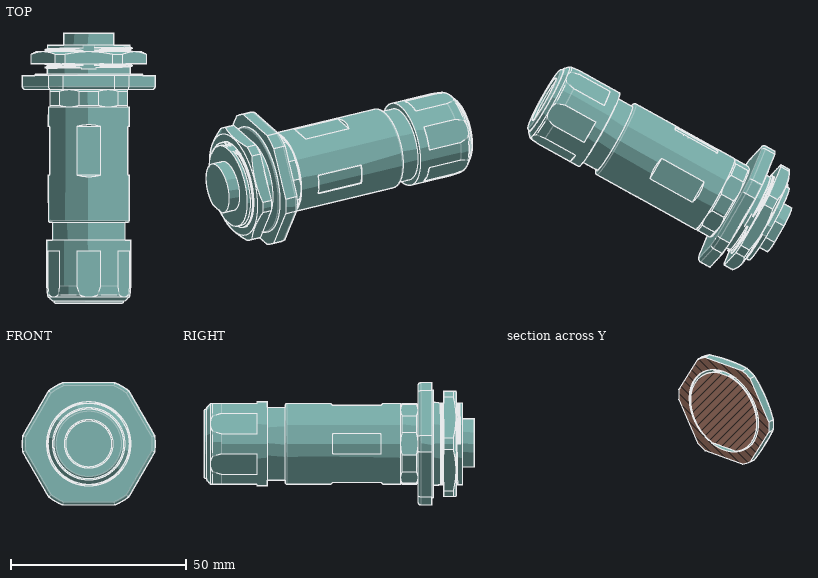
import cadquery as cq
import math


gland_end_y = 18.0
barrel_start_y = 23.1
barrel_end_y = 56.0
flange_start_y = 60.95
flange_end_y = 64.95
washer_end_y = 65.4
collar_end_y = 67.35
thread_end_y = 73.65
insert_end_y = 77.05

grip_width = 6.8

gland_radius = 12.0
gland_flat_distance = math.sqrt(gland_radius**2 - (grip_width / 2) ** 2)
gland_flat_start_y = 15.0
gland_taper_start_y = 5.0
gland_taper_end_y = 2.4
gland_taper_radius = 11.8
gland_shoulder_y = 1.85
gland_shoulder_radius = 11.55
gland_rim_height = 0.7
gland_bevel_radius = 10.3
gland_rim_radius = 9.95
gland_rim_fillet = 0.6
gland_neck_radius = 10.4
cable_recess_radius = 6.9
cable_recess_floor_radius = 6.55
cable_recess_depth = 0.6

barrel_radius = 11.55
barrel_rim_fillet = 0.55
grip_start_y = 36.6
grip_end_y = 50.5
grip_flat_distance = math.sqrt(barrel_radius**2 - (grip_width / 2) ** 2)
label_floor_radius = 11.2
label_width = 5.85
label_corner_radius = 0.3
wrench_flat_distance = 11.1
wrench_chamfer = barrel_radius - wrench_flat_distance

flange_across_flats = 35.0
flange_across_corners = 38.0
flange_edge_fillet = 0.9
washer_radius = 15.4
washer_fillet = 0.3

thread_pitch = 1.0
thread_root_radius = 11.8
thread_crest_radius = 12.5
thread_base_width = 0.8
thread_crest_width = 0.15
thread_start_y = 67.3
thread_turns = 5.5
thread_flat_width = 3.15
thread_flat_distance = math.sqrt(thread_root_radius**2 - (thread_flat_width / 2) ** 2)
thread_flat_start_y = 66.8
collar_radius = 11.9

insert_radius = 7.2
insert_flat_distance = 6.6

nut_start_y = 68.3
nut_end_y = 71.9
nut_flat_distance = 15.0
nut_corner_radius = 16.5
nut_bore_clearance = 0.04
nut_bore_radius = thread_crest_radius + nut_bore_clearance
nut_chamfer_top_radius = 14.8
nut_chamfer_height = 0.85

clearance = 7.7


def cylinder(radius, start_y, end_y):
    """Solid cylinder on the Y axis."""
    return cq.Workplane("XZ", origin=(0, start_y, 0)).circle(radius).extrude(start_y - end_y)


def revolved(profile):
    """Revolve a closed (radius, y) profile about the Y axis."""
    return cq.Workplane("XY").polyline(profile).close().revolve(360, (0, 0, 0), (0, 1, 0))


def hexagon(flat_distance, start_y, end_y, turn=0):
    """Hexagonal prism on the Y axis, with flats facing +Z and -Z when turn is 0."""
    corner_diameter = 2 * flat_distance / math.cos(math.pi / 6)
    prism = cq.Workplane("XZ", origin=(0, start_y, 0)).polygon(6, corner_diameter)
    return prism.extrude(start_y - end_y).rotate((0, 0, 0), (0, 1, 0), turn)


def flat_cutter(distance, start_y, end_y, turn, end_slope=0):
    """Block that cuts a flat at the given distance from the axis, facing +Z turned about Y.

    end_slope is the run of the sloping end walls per unit of height.
    """
    height = clearance
    run = height * end_slope
    outline = [
        (start_y, distance),
        (end_y, distance),
        (end_y + run, distance + height),
        (start_y - run, distance + height),
    ]
    block = cq.Workplane("YZ").polyline(outline).close().extrude(clearance, both=True)
    return block.rotate((0, 0, 0), (0, 1, 0), turn)


def make_gland():
    """Gland cap with six wrench flats and a shallow cable recess, on its plain neck."""
    gland = revolved([
        (0, cable_recess_depth),
        (cable_recess_floor_radius, cable_recess_depth),
        (cable_recess_radius, 0),
        (gland_rim_radius, 0),
        (gland_rim_radius, gland_rim_height),
        (gland_bevel_radius, gland_rim_height),
        (gland_shoulder_radius, gland_shoulder_y),
        (gland_taper_radius, gland_taper_end_y),
        (gland_radius, gland_taper_start_y),
        (gland_radius, gland_end_y),
        (0, gland_end_y),
    ])
    rim_edge = gland.faces("<Y").edges(cq.selectors.RadiusNthSelector(-1))
    gland = rim_edge.fillet(gland_rim_fillet)
    for side in range(6):
        gland = gland.cut(flat_cutter(gland_flat_distance, -clearance, gland_flat_start_y, 60 * side))
    neck = cylinder(gland_neck_radius, gland_end_y, barrel_start_y)
    return gland.union(neck)


def make_label_recesses():
    """Cutter for the shallow label recesses on +X and -X, with floors concentric to the barrel."""
    label_length = grip_end_y - grip_start_y
    label_middle_y = (grip_start_y + grip_end_y) / 2
    bar = cq.Workplane("XY").box(2 * barrel_radius + clearance, label_length, label_width)
    bar = bar.edges("|X").fillet(label_corner_radius).translate((0, label_middle_y, 0))
    return bar.cut(cylinder(label_floor_radius, barrel_start_y, barrel_end_y))


def make_barrel():
    """Round barrel with grip recesses on +Z and -Z and label recesses on +X and -X."""
    barrel = cylinder(barrel_radius, barrel_start_y, barrel_end_y)
    barrel = barrel.faces("<Y").edges().fillet(barrel_rim_fillet)
    for turn in (0, 180):
        barrel = barrel.cut(flat_cutter(grip_flat_distance, grip_start_y, grip_end_y, turn, end_slope=1))
    return barrel.cut(make_label_recesses())


def make_wrench_section():
    """Round section with six wrench flats, two of them facing +X and -X."""
    section = cylinder(barrel_radius, barrel_end_y, flange_start_y).edges().chamfer(wrench_chamfer)
    return section.intersect(hexagon(wrench_flat_distance, barrel_end_y, flange_start_y, 90))


def make_flange():
    """Hexagonal flange with turned corners and a round washer face behind it."""
    flange = hexagon(flange_across_flats / 2, flange_start_y, flange_end_y)
    flange = flange.intersect(cylinder(flange_across_corners / 2, flange_start_y, flange_end_y))
    flange = flange.faces("<Y").edges().fillet(flange_edge_fillet)
    washer = cylinder(washer_radius, flange_end_y, washer_end_y).faces(">Y").edges().fillet(washer_fillet)
    return flange.union(washer)


def make_thread():
    """Root cylinder, plain collar and helical ridge, with a flat on +Z and on -Z."""
    root = cylinder(thread_root_radius, washer_end_y, thread_end_y)
    collar = cylinder(collar_radius, washer_end_y, collar_end_y)

    root_overlap = 0.1
    inner_radius = thread_root_radius - root_overlap
    helix = cq.Wire.makeHelix(thread_pitch, thread_turns * thread_pitch, inner_radius)
    ridge = (
        cq.Workplane("XZ")
        .polyline([
            (inner_radius, -thread_base_width / 2),
            (thread_crest_radius, -thread_crest_width / 2),
            (thread_crest_radius, thread_crest_width / 2),
            (inner_radius, thread_base_width / 2),
        ])
        .close()
        .sweep(cq.Workplane(obj=helix), isFrenet=True)
        .rotate((0, 0, 0), (1, 0, 0), -90)
        .rotate((0, 0, 0), (0, 1, 0), 180)
        .translate((0, thread_start_y, 0))
    )
    thread = root.union(ridge).union(collar)
    for turn in (0, 180):
        thread = thread.cut(flat_cutter(thread_flat_distance, thread_flat_start_y, thread_end_y, turn))
    return thread


def make_insert():
    """Contact insert with a locating flat on -Z."""
    insert = cylinder(insert_radius, thread_end_y, insert_end_y)
    return insert.cut(flat_cutter(insert_flat_distance, thread_end_y, insert_end_y, 180))


def make_connector():
    """All sections of the connector joined into one solid."""
    connector = make_gland()
    sections = [make_barrel(), make_wrench_section(), make_flange(), make_thread(), make_insert()]
    for section in sections:
        connector = connector.union(section)
    return connector


def make_lock_nut():
    """Hexagonal nut with turned corners and one conical face, bored to clear the thread crests."""
    turned_blank = revolved([
        (nut_bore_radius, nut_start_y),
        (nut_corner_radius, nut_start_y),
        (nut_corner_radius, nut_end_y - nut_chamfer_height),
        (nut_chamfer_top_radius, nut_end_y),
        (nut_bore_radius, nut_end_y),
    ])
    return turned_blank.intersect(hexagon(nut_flat_distance, nut_start_y, nut_end_y))


connector = make_connector()
lock_nut = make_lock_nut()

result = cq.Compound.makeCompound([connector.solids().val(), lock_nut.solids().val()])